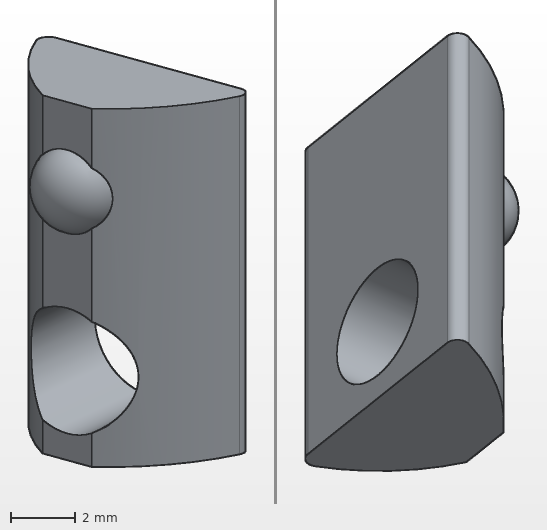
import cadquery as cq
import math

body_width = 8.02
body_depth = 4.2
body_height = 12.0
front_flat_width = 1.93
corner_radius = 0.4
corner_wall_angle = 24.0
side_radius = 8.2

hole_diameter = 4.2
hole_z = 3.0

ball_radius = 1.5
ball_protrusion = 0.95
ball_z = 9.0


def make_body():
    """Extrude the flat-backed section with its rounded corners and convex sides."""
    corner_x = body_width / 2 - corner_radius
    corner_y = -corner_radius

    def corner_point(side, degrees):
        angle = math.radians(degrees)
        x = corner_x + corner_radius * math.cos(angle)
        y = corner_y + corner_radius * math.sin(angle)
        return (side * x, y)

    right, left = 1, -1
    wall_start = -corner_wall_angle
    corner_middle = (90 + wall_start) / 2
    flat_half = front_flat_width / 2

    profile = (
        cq.Workplane("XY")
        .moveTo(-corner_x, 0)
        .lineTo(corner_x, 0)
        .threePointArc(corner_point(right, corner_middle), corner_point(right, wall_start))
        .radiusArc((flat_half, -body_depth), side_radius)
        .lineTo(-flat_half, -body_depth)
        .radiusArc(corner_point(left, wall_start), side_radius)
        .threePointArc(corner_point(left, corner_middle), (-corner_x, 0))
        .close()
    )
    return profile.extrude(body_height)


def make_cross_hole():
    """Cylinder that removes the round hole from back to front."""
    return (
        cq.Workplane("XZ")
        .center(0, hole_z)
        .circle(hole_diameter / 2)
        .extrude(body_depth)
    )


def make_ball():
    """Sphere whose front stands proud of the front flat."""
    ball_y = -body_depth - ball_protrusion + ball_radius
    return cq.Workplane("XY").sphere(ball_radius).translate((0, ball_y, ball_z))


result = make_body().cut(make_cross_hole()).union(make_ball())